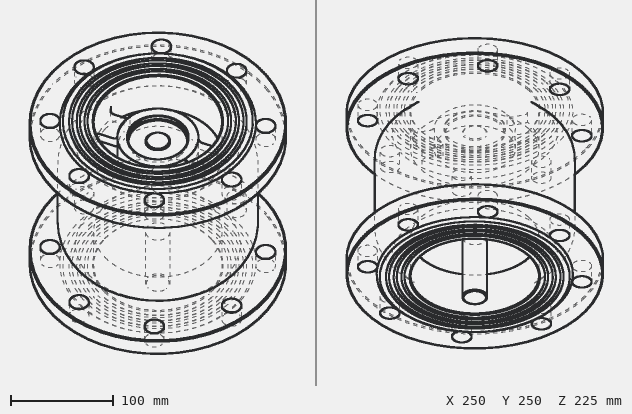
import cadquery as cq
import math

face_to_face = 200.0
body_radius = 97.5
bore_radius = 62.5
bore_depth = 47.0
bore_chamfer = 1.0

flange_radius = 125.0
flange_chamfer = 1.0
face_height = 3.0
face_radius = 92.5
flange_depth = 22.0

neck_radius = 80.5
neck_end_depth = 31.0
flange_root_fillet = 5.0
neck_fillet = 4.0
shoulder_fillet = 26.0
cone_angle = math.radians(45)

bolt_count = 8
bolt_hole_diameter = 19.0
bolt_circle_radius = 105.0

groove_radii = (70.0, 77.5, 85.0)
groove_section_radius = 1.5

hub_radius = 39.5
hub_depth = 22.5
recess_radius = 29.5
recess_depth = 5.5
recess_mouth_chamfer = 0.5
recess_corner_chamfer = 1.0

spoke_width = 30.0
spoke_height = 10.0
spoke_depth = 27.0
spoke_wall_fillet = 5.0
spoke_hub_fillet = 4.0

shaft_radius = 12.0
shaft_chamfer = 1.0
shaft_extension = 25.0

face_z = face_to_face / 2
floor_z = face_z - bore_depth
hub_top_z = face_z - hub_depth
recess_floor_z = hub_top_z - recess_depth
spoke_top_z = face_z - spoke_depth
spoke_bottom_z = spoke_top_z - spoke_height
shaft_top_z = recess_floor_z + shaft_chamfer
shaft_bottom_z = -face_z - shaft_extension


def arc_point(center_r, center_z, radius, angle):
    """Point on an arc of the (r, z) profile."""
    return (center_r + radius * math.cos(angle), center_z + radius * math.sin(angle))


def upper_half_shell():
    """Solid of revolution from the mid-plane up to the upper sealing face."""
    flange_top = face_z - face_height
    flange_back = face_z - flange_depth
    neck_end = face_z - neck_end_depth

    neck_center = (neck_radius + neck_fillet, neck_end)
    cone_top = arc_point(*neck_center, neck_fillet, math.pi + cone_angle)
    neck_mid = arc_point(*neck_center, neck_fillet, math.pi + cone_angle / 2)

    shoulder_center_r = body_radius - shoulder_fillet
    cone_bottom_r = shoulder_center_r + shoulder_fillet * math.cos(cone_angle)
    cone_bottom_z = cone_top[1] - (cone_bottom_r - cone_top[0]) / math.tan(cone_angle)
    shoulder_center_z = cone_bottom_z - shoulder_fillet * math.sin(cone_angle)
    shoulder_center = (shoulder_center_r, shoulder_center_z)
    shoulder_mid = arc_point(*shoulder_center, shoulder_fillet, cone_angle / 2)

    root_center = (neck_radius + flange_root_fillet, flange_back - flange_root_fillet)
    root_mid = arc_point(*root_center, flange_root_fillet, math.radians(135))

    profile = (
        cq.Workplane("XZ")
        .moveTo(0, 0)
        .lineTo(body_radius, 0)
        .lineTo(body_radius, shoulder_center_z)
        .threePointArc(shoulder_mid, (cone_bottom_r, cone_bottom_z))
        .lineTo(*cone_top)
        .threePointArc(neck_mid, (neck_radius, neck_end))
        .lineTo(neck_radius, root_center[1])
        .threePointArc(root_mid, (root_center[0], flange_back))
        .lineTo(flange_radius - flange_chamfer, flange_back)
        .lineTo(flange_radius, flange_back + flange_chamfer)
        .lineTo(flange_radius, flange_top - flange_chamfer)
        .lineTo(flange_radius - flange_chamfer, flange_top)
        .lineTo(face_radius + face_height, flange_top)
        .lineTo(face_radius, face_z)
        .lineTo(0, face_z)
        .close()
    )
    return profile.revolve(360, (0, 0, 0), (0, 1, 0))


def disc(radius, bottom_z, top_z):
    """Cylinder on the valve axis."""
    return cq.Workplane("XY", origin=(0, 0, bottom_z)).circle(radius).extrude(top_z - bottom_z)


def cut_end_openings(half):
    """Cut the chamfered bore, the sealing grooves and the bolt holes."""
    half = half.cut(disc(bore_radius, floor_z, face_z))
    bore_rim = cq.selectors.RadiusNthSelector(0)
    half = half.faces(">Z").edges(bore_rim).chamfer(bore_chamfer)
    for radius in groove_radii:
        ring = cq.Solid.makeTorus(radius, groove_section_radius, cq.Vector(0, 0, face_z))
        half = half.cut(cq.Workplane(ring))
    holes = (
        cq.Workplane("XY")
        .polarArray(bolt_circle_radius, 180 / bolt_count, 360, bolt_count)
        .circle(bolt_hole_diameter / 2)
        .extrude(face_z)
    )
    flange_zone = disc(flange_radius, face_z - flange_depth, face_z)
    return half.cut(holes.intersect(flange_zone))


def add_spokes(body):
    """Join two opposed spokes between hub and bore wall and round their roots."""
    bar = (
        cq.Workplane("XY", origin=(0, 0, spoke_bottom_z))
        .rect(2 * body_radius, spoke_width)
        .extrude(spoke_height)
    )
    passage = disc(bore_radius, floor_z, face_z).cut(disc(hub_radius, floor_z, face_z))
    body = body.union(bar.intersect(passage))

    half_width = spoke_width / 2
    margin = 0.2
    wall_start = math.sqrt(bore_radius**2 - half_width**2) - margin
    hub_start = math.sqrt(hub_radius**2 - half_width**2) - margin
    for side in (-1, 1):
        wall_edges = cq.selectors.BoxSelector(
            (side * wall_start, -half_width - margin, spoke_bottom_z - margin),
            (side * (bore_radius + margin), half_width + margin, spoke_top_z + margin),
            boundingbox=True,
        )
        body = body.edges(wall_edges).fillet(spoke_wall_fillet)
        hub_edge = cq.selectors.BoxSelector(
            (side * hub_start, -half_width - margin, spoke_top_z - margin),
            (side * (hub_radius + margin), half_width + margin, spoke_top_z + margin),
            boundingbox=True,
        )
        body = body.edges(hub_edge).fillet(spoke_hub_fillet)
    return body


def make_hub():
    """Hub with a top recess, chamfered at its mouth and bevelled around its floor."""
    profile = (
        cq.Workplane("XZ")
        .moveTo(0, floor_z)
        .lineTo(hub_radius, floor_z)
        .lineTo(hub_radius, hub_top_z)
        .lineTo(recess_radius + recess_mouth_chamfer, hub_top_z)
        .lineTo(recess_radius, hub_top_z - recess_mouth_chamfer)
        .lineTo(recess_radius, recess_floor_z + recess_corner_chamfer)
        .lineTo(recess_radius - recess_corner_chamfer, recess_floor_z)
        .lineTo(0, recess_floor_z)
        .close()
    )
    return profile.revolve(360, (0, 0, 0), (0, 1, 0))


flanged_half = cut_end_openings(upper_half_shell())
shell = flanged_half.union(flanged_half.rotate((0, 0, 0), (1, 0, 0), 180))

with_hub = shell.union(make_hub())
with_guide = add_spokes(with_hub)

shaft = disc(shaft_radius, shaft_bottom_z, shaft_top_z).faces("<Z or >Z").chamfer(shaft_chamfer)
result = with_guide.union(shaft)